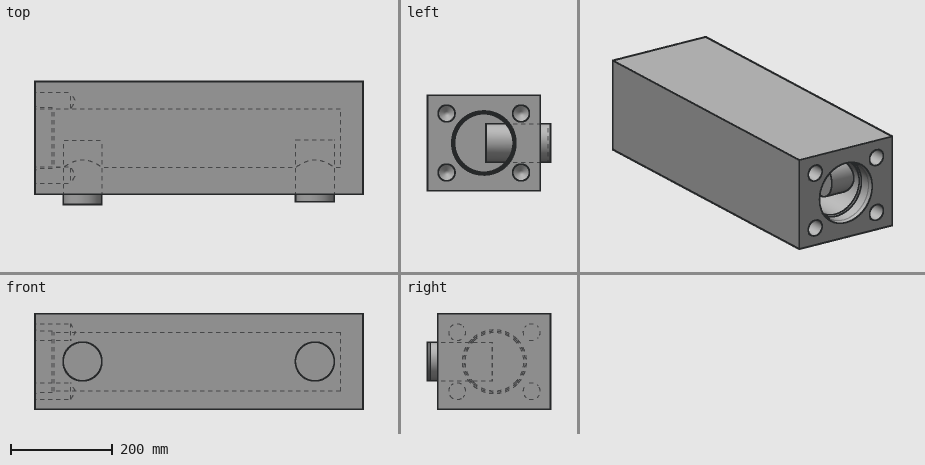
import cadquery as cq

block_length = 645.62
block_width = 222.31
block_height = 188.45
overall_width = 242.57
center_y = block_width / 2
center_z = block_height / 2

mouth_diameter = 126.0
seat_diameter = 120.5
bore_diameter = 115.1
lead_in_length = 9.74
shoulder_start = 33.3
shoulder_length = 3.7
bore_depth = 600.0

bolt_hole_diameter = 33.02
bolt_hole_depth = 70.0
drill_point_height = 9.5
bolt_spacing_y = 146.3
bolt_spacing_z = 116.0

near_pin_diameter = 76.25
far_pin_diameter = 76.5
pin_hole_diameter = 76.5
near_pin_x = 93.8
far_pin_x = 550.5
near_pin_protrusion = overall_width - block_width
far_pin_protrusion = 14.8
near_pin_reach = 106.3
far_pin_reach = 107.6


def revolved_about_x(profile, y, z):
    """Solid of revolution about the X direction line through (y, z); profile points are (x, radius)."""
    half_section = cq.Workplane("XY").polyline(profile).close()
    return half_section.revolve(360, (0, 0, 0), (1, 0, 0)).translate((0, y, z))


def make_bore():
    seat_radius = seat_diameter / 2
    bore_radius = bore_diameter / 2
    profile = [
        (0, 0),
        (0, mouth_diameter / 2),
        (lead_in_length, seat_radius),
        (shoulder_start, seat_radius),
        (shoulder_start + shoulder_length, bore_radius),
        (bore_depth, bore_radius),
        (bore_depth, 0),
    ]
    return revolved_about_x(profile, center_y, center_z)


def make_bolt_hole(y, z):
    radius = bolt_hole_diameter / 2
    profile = [
        (0, 0),
        (0, radius),
        (bolt_hole_depth, radius),
        (bolt_hole_depth + drill_point_height, 0),
    ]
    return revolved_about_x(profile, y, z)


def cylinder_along_y(diameter, x, start_y, end_y):
    face = cq.Workplane("XZ", origin=(x, start_y, center_z)).circle(diameter / 2)
    return face.extrude(start_y - end_y)


def make_block():
    block = cq.Workplane("XY").box(block_length, block_width, block_height, centered=False)
    block = block.cut(make_bore())
    for side_y in (-1, 1):
        for side_z in (-1, 1):
            hole_y = center_y + side_y * bolt_spacing_y / 2
            hole_z = center_z + side_z * bolt_spacing_z / 2
            block = block.cut(make_bolt_hole(hole_y, hole_z))
    for pin_x in (near_pin_x, far_pin_x):
        block = block.cut(cylinder_along_y(pin_hole_diameter, pin_x, 0, center_y))
    return block


near_pin = cylinder_along_y(near_pin_diameter, near_pin_x, -near_pin_protrusion, near_pin_reach)
far_pin = cylinder_along_y(far_pin_diameter, far_pin_x, -far_pin_protrusion, far_pin_reach)
block = make_block()
result = cq.Compound.makeCompound([block.val(), near_pin.val(), far_pin.val()])